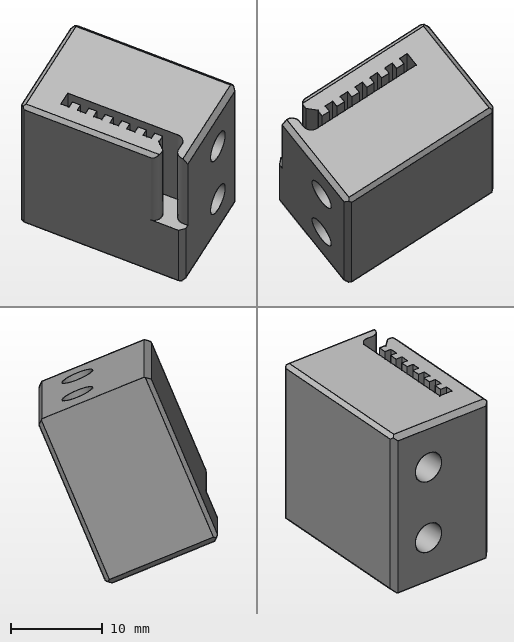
import cadquery as cq
import math

LENGTH = 20.0
WIDTH = 13.3
HEIGHT = 20.0
SIDE_CHAMFER = 0.6
LONG_CHAMFER_Y = 0.5
LONG_CHAMFER_Z = 0.44

HOLE_DIAMETER = 3.6
HOLE_SPACING = 9.0
HOLE_TO_BACK = 4.8

SLOT_DEPTH = 11.0
SLOT_START = 4.0
SLOT_FRONT = 2.2
SLOT_BACK = 3.9
TOOTH_COUNT = 6
TOOTH_WIDTH = 1.0
TOOTH_PITCH = 2.0
TOOTH_HEIGHT = 0.8

PASSAGE_START = SLOT_START + TOOTH_COUNT * TOOTH_PITCH
NOSE_RADIUS = 0.9
NOSE_UNDERCUT = 0.1
BEND_RADIUS = 1.0
BEND_WALL_X = 18.38
EXIT_BACK = 1.1


def plain_block():
    return cq.Workplane("XY").box(LENGTH, WIDTH, HEIGHT, centered=False)


def make_block():
    upright = plain_block().edges("|Z").chamfer(SIDE_CHAMFER)
    crosswise = plain_block().edges("|Y and (>X or >Z)").chamfer(SIDE_CHAMFER)
    lengthwise = (
        cq.Workplane("YZ")
        .moveTo(LONG_CHAMFER_Y, 0)
        .lineTo(WIDTH - LONG_CHAMFER_Y, 0)
        .lineTo(WIDTH, LONG_CHAMFER_Z)
        .lineTo(WIDTH, HEIGHT - LONG_CHAMFER_Z)
        .lineTo(WIDTH - LONG_CHAMFER_Y, HEIGHT)
        .lineTo(LONG_CHAMFER_Y, HEIGHT)
        .lineTo(0, HEIGHT - LONG_CHAMFER_Z)
        .lineTo(0, LONG_CHAMFER_Z)
        .close()
        .extrude(LENGTH)
    )
    return upright.intersect(crosswise).intersect(lengthwise)


def cut_cross_holes(body):
    for side in (-1, 1):
        hole = (
            cq.Workplane("YZ")
            .center(WIDTH - HOLE_TO_BACK, HEIGHT / 2 + side * HOLE_SPACING / 2)
            .circle(HOLE_DIAMETER / 2)
            .extrude(LENGTH)
        )
        body = body.cut(hole)
    return body


def make_slot():
    floor = cq.Workplane("XY").workplane(offset=HEIGHT - SLOT_DEPTH)
    diagonal = math.sqrt(0.5)
    bend_end_x = BEND_WALL_X + BEND_RADIUS
    bend_start_x = BEND_WALL_X - BEND_RADIUS

    outline = floor.moveTo(SLOT_START, SLOT_BACK).lineTo(SLOT_START, SLOT_FRONT)
    for index in range(TOOTH_COUNT):
        tooth_end = SLOT_START + (index + 1) * TOOTH_PITCH
        tooth_start = tooth_end - TOOTH_WIDTH
        outline = (
            outline.lineTo(tooth_start, SLOT_FRONT)
            .lineTo(tooth_start, SLOT_FRONT + TOOTH_HEIGHT)
            .lineTo(tooth_end, SLOT_FRONT + TOOTH_HEIGHT)
            .lineTo(tooth_end, SLOT_FRONT)
        )
    return (
        outline.lineTo(PASSAGE_START - NOSE_UNDERCUT, SLOT_FRONT)
        .lineTo(PASSAGE_START + NOSE_RADIUS, SLOT_FRONT - NOSE_RADIUS - NOSE_UNDERCUT)
        .lineTo(PASSAGE_START + NOSE_RADIUS, NOSE_RADIUS)
        .threePointArc(
            (PASSAGE_START + NOSE_RADIUS * diagonal, NOSE_RADIUS * (1 - diagonal)),
            (PASSAGE_START, 0),
        )
        .lineTo(LENGTH, 0)
        .lineTo(LENGTH, EXIT_BACK)
        .lineTo(bend_end_x, EXIT_BACK)
        .threePointArc(
            (
                bend_end_x - BEND_RADIUS * diagonal,
                EXIT_BACK + BEND_RADIUS * (1 - diagonal),
            ),
            (BEND_WALL_X, EXIT_BACK + BEND_RADIUS),
        )
        .lineTo(BEND_WALL_X, SLOT_BACK - BEND_RADIUS)
        .threePointArc(
            (
                bend_start_x + BEND_RADIUS * diagonal,
                SLOT_BACK - BEND_RADIUS * (1 - diagonal),
            ),
            (bend_start_x, SLOT_BACK),
        )
        .close()
        .extrude(SLOT_DEPTH)
    )


result = cut_cross_holes(make_block()).cut(make_slot())